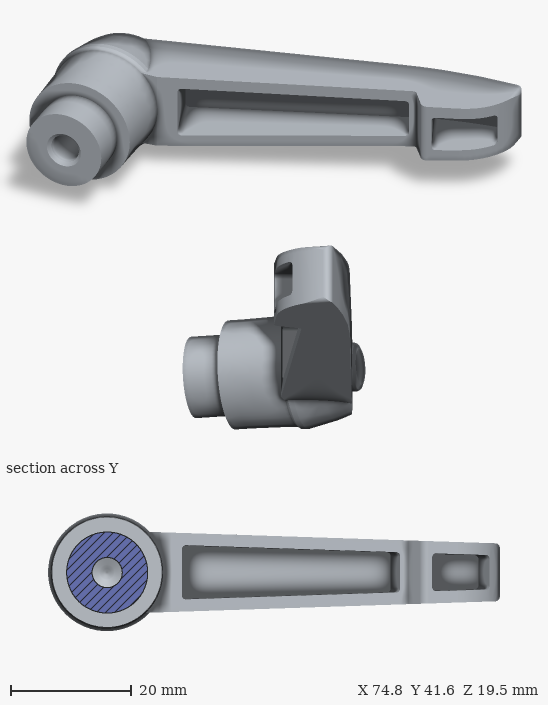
import cadquery as cq
import math


FOOT_RADIUS = 13.5 / 2
FOOT_TOP_Y = 6.6
BARREL_LOW_RADIUS = 9.05
BARREL_TOP_RADIUS = 9.3
COLLAR_RADIUS = 19.49 / 2
COLLAR_LOW_Y = 17.6
COLLAR_CHAMFER_HEIGHT = 0.6
COLLAR_TOP_Y = 19.15
DOME_MIDDLE_RADIUS = 8.33
DOME_MIDDLE_Y = 25.05
DOME_TOP_RADIUS = 7.05
DOME_TOP_Y = 28.4

STUD_RADIUS = 4.05
STUD_SHOULDER_RADIUS = 3.85
STUD_END_RADIUS = 3.0
STUD_TOP_Y = 28.67
STUD_STEEP_BEVEL_HEIGHT = 0.45
STUD_FLAT_BEVEL_HEIGHT = 0.42

HOLE_RADIUS = 4.92 / 2
HOLE_MOUTH_RADIUS = 3.05
HOLE_DEPTH = 12.0
DRILL_POINT_ANGLE = 118.0

TOTAL_LENGTH = 74.75
TIP_X = TOTAL_LENGTH - COLLAR_RADIUS
TIP_Y = 41.55
TOP_ANGLE = 15.0
TOP_AXIS_Y = 27.2
UNDER_ANGLE = 20.0
UNDER_START_X = 9.26
NOTCH_X = 49.54
NOTCH_ANGLE = 55.0
HEEL_X = 52.34
TOP_BLEND_RADIUS = 76.0
TIP_BOTTOM_RADIUS = 10.5
TIP_TOP_RADIUS = 1.2
NOTCH_RADIUS = 0.7
HEEL_RADIUS = 1.2

AXIS_HALF_WIDTH = 6.92
WIDTH_TAPER = 0.033
PLAN_CORNER_RADIUS = 0.75

WALL = 2.0
POCKET_CORNER_RADIUS = 0.7
ARM_POCKET_START_X = 12.4
ARM_POCKET_END_X = 48.5
TIP_POCKET_START_X = 53.8
TIP_POCKET_END_X = 63.3
MOUTH_CLEARANCE = 8.0

MARGIN = 60.0


def slope(degrees):
    return math.tan(math.radians(degrees))


def top_line_y(x):
    return TOP_AXIS_Y + slope(TOP_ANGLE) * x


NOTCH_Y = COLLAR_LOW_Y + slope(UNDER_ANGLE) * (NOTCH_X - UNDER_START_X)
HEEL_Y = NOTCH_Y - slope(NOTCH_ANGLE) * (HEEL_X - NOTCH_X)


def heel_line_y(x):
    return HEEL_Y + slope(UNDER_ANGLE) * (x - HEEL_X)


def arm_line_y(x):
    return COLLAR_LOW_Y + slope(UNDER_ANGLE) * (x - UNDER_START_X)


def half_width(x):
    return AXIS_HALF_WIDTH - WIDTH_TAPER * x


def rounded_outline(plane, corners):
    """Closed outline through (x, y, radius) corners with tangent arcs on them."""
    stretches = []
    for i, (x, y, radius) in enumerate(corners):
        corner = cq.Vector(x, y)
        back = (cq.Vector(*corners[i - 1][:2]) - corner).normalized()
        ahead = (cq.Vector(*corners[(i + 1) % len(corners)][:2]) - corner).normalized()
        if radius == 0:
            stretches.append([corner])
            continue
        half_angle = back.getAngle(ahead) / 2
        tangent_length = radius / math.tan(half_angle)
        middle_distance = radius / math.sin(half_angle) - radius
        middle = corner + (back + ahead).normalized() * middle_distance
        stretches.append([corner + back * tangent_length, middle, corner + ahead * tangent_length])

    outline = cq.Workplane(plane).moveTo(*stretches[0][-1].toTuple()[:2])
    for stretch in stretches[1:] + stretches[:1]:
        points = [point.toTuple()[:2] for point in stretch]
        outline = outline.lineTo(*points[0])
        if len(points) > 1:
            outline = outline.threePointArc(points[1], points[2])
    return outline.close()


def make_hub():
    """Foot, barrel, collar and dome turned about Y, trimmed by the sloping top."""
    body = (
        cq.Workplane("XY")
        .lineTo(FOOT_RADIUS, 0)
        .lineTo(FOOT_RADIUS, FOOT_TOP_Y)
        .lineTo(BARREL_LOW_RADIUS, FOOT_TOP_Y)
        .lineTo(BARREL_TOP_RADIUS, COLLAR_LOW_Y)
        .lineTo(COLLAR_RADIUS, COLLAR_LOW_Y + COLLAR_CHAMFER_HEIGHT)
        .lineTo(COLLAR_RADIUS, COLLAR_TOP_Y)
        .threePointArc((DOME_MIDDLE_RADIUS, DOME_MIDDLE_Y), (DOME_TOP_RADIUS, DOME_TOP_Y))
        .lineTo(0, DOME_TOP_Y)
        .close()
        .revolve(360, (0, 0, 0), (0, 1, 0))
    )
    above_top = (
        cq.Workplane("XY")
        .polyline([
            (-MARGIN, top_line_y(-MARGIN)),
            (MARGIN, top_line_y(MARGIN)),
            (-MARGIN, top_line_y(MARGIN)),
        ])
        .close()
        .extrude(MARGIN, both=True)
    )
    return body.cut(above_top)


def make_stud():
    """Double-bevelled stud end standing out of the sloping hub top."""
    shoulder_y = STUD_TOP_Y - STUD_FLAT_BEVEL_HEIGHT
    return (
        cq.Workplane("XY")
        .moveTo(0, COLLAR_TOP_Y)
        .lineTo(STUD_RADIUS, COLLAR_TOP_Y)
        .lineTo(STUD_RADIUS, shoulder_y - STUD_STEEP_BEVEL_HEIGHT)
        .lineTo(STUD_SHOULDER_RADIUS, shoulder_y)
        .lineTo(STUD_END_RADIUS, STUD_TOP_Y)
        .lineTo(0, STUD_TOP_Y)
        .close()
        .revolve(360, (0, 0, 0), (0, 1, 0))
    )


def make_hole():
    """Blind countersunk hole with a drill point, to be cut from the foot."""
    point_depth = HOLE_RADIUS / slope(DRILL_POINT_ANGLE / 2)
    return (
        cq.Workplane("XY")
        .lineTo(HOLE_MOUTH_RADIUS, 0)
        .lineTo(HOLE_RADIUS, HOLE_MOUTH_RADIUS - HOLE_RADIUS)
        .lineTo(HOLE_RADIUS, HOLE_DEPTH)
        .lineTo(0, HOLE_DEPTH + point_depth)
        .close()
        .revolve(360, (0, 0, 0), (0, 1, 0))
    )


def make_arm():
    """Side profile crossed with the tapering plan."""
    top_corner_x = (TIP_Y - TOP_AXIS_Y) / slope(TOP_ANGLE)
    profile = rounded_outline("XY", [
        (0, COLLAR_LOW_Y, 0),
        (UNDER_START_X, COLLAR_LOW_Y, 0),
        (NOTCH_X, NOTCH_Y, NOTCH_RADIUS),
        (HEEL_X, HEEL_Y, HEEL_RADIUS),
        (TIP_X, heel_line_y(TIP_X), TIP_BOTTOM_RADIUS),
        (TIP_X, TIP_Y, TIP_TOP_RADIUS),
        (top_corner_x, TIP_Y, TOP_BLEND_RADIUS),
        (0, TOP_AXIS_Y, 0),
    ]).extrude(AXIS_HALF_WIDTH, both=True)
    plan = rounded_outline("XZ", [
        (0, -half_width(0), 0),
        (TIP_X, -half_width(TIP_X), PLAN_CORNER_RADIUS),
        (TIP_X, half_width(TIP_X), PLAN_CORNER_RADIUS),
        (0, half_width(0), 0),
    ]).extrude(-MARGIN)
    return profile.intersect(plan)


def make_pocket(start, end, lean, depth):
    """Tapering pocket between two (x, y) mouth ends, sunk from the start by depth.

    The sinking direction leans from +Y towards -X and the floor is square to it.
    The block also reaches below the mouth so that it always opens out.
    """
    run = cq.Vector(math.cos(math.radians(lean)), math.sin(math.radians(lean)), 0)
    inward = cq.Vector(-run.y, run.x, 0)
    origin = cq.Vector(*start) - inward * MOUTH_CLEARANCE
    plane = cq.Plane(origin=origin.toTuple(), xDir=run.toTuple(), normal=inward.toTuple())
    length = (cq.Vector(*end) - cq.Vector(*start)).dot(run)
    start_half = half_width(start[0]) - WALL
    end_half = half_width(end[0]) - WALL
    return rounded_outline(plane, [
        (0, -start_half, POCKET_CORNER_RADIUS),
        (length, -end_half, POCKET_CORNER_RADIUS),
        (length, end_half, POCKET_CORNER_RADIUS),
        (0, start_half, POCKET_CORNER_RADIUS),
    ]).extrude(MOUTH_CLEARANCE + depth)


def make_arm_pocket():
    """Long pocket whose flat floor lies one wall thickness under the arm top."""
    start = (ARM_POCKET_START_X, arm_line_y(ARM_POCKET_START_X))
    end = (ARM_POCKET_END_X, arm_line_y(ARM_POCKET_END_X))
    arm_thickness = (top_line_y(start[0]) - start[1]) * math.cos(math.radians(TOP_ANGLE))
    return make_pocket(start, end, TOP_ANGLE, arm_thickness - WALL)


def make_tip_pocket(arm):
    """Short pocket behind the notch, its floor following the curved arm top."""
    start = (TIP_POCKET_START_X, heel_line_y(TIP_POCKET_START_X))
    arc_centre_x = TIP_X - TIP_BOTTOM_RADIUS
    arc_centre_y = heel_line_y(arc_centre_x) + TIP_BOTTOM_RADIUS / math.cos(math.radians(UNDER_ANGLE))
    arc_drop = math.sqrt(TIP_BOTTOM_RADIUS**2 - (TIP_POCKET_END_X - arc_centre_x) ** 2)
    end = (TIP_POCKET_END_X, arc_centre_y - arc_drop)
    lowered_arm = arm.translate((0, -WALL, 0))
    return make_pocket(start, end, UNDER_ANGLE, TIP_Y - start[1]).intersect(lowered_arm)


arm = make_arm()

result = (
    arm.cut(make_arm_pocket())
    .cut(make_tip_pocket(arm))
    .union(make_hub())
    .union(make_stud())
    .cut(make_hole())
)